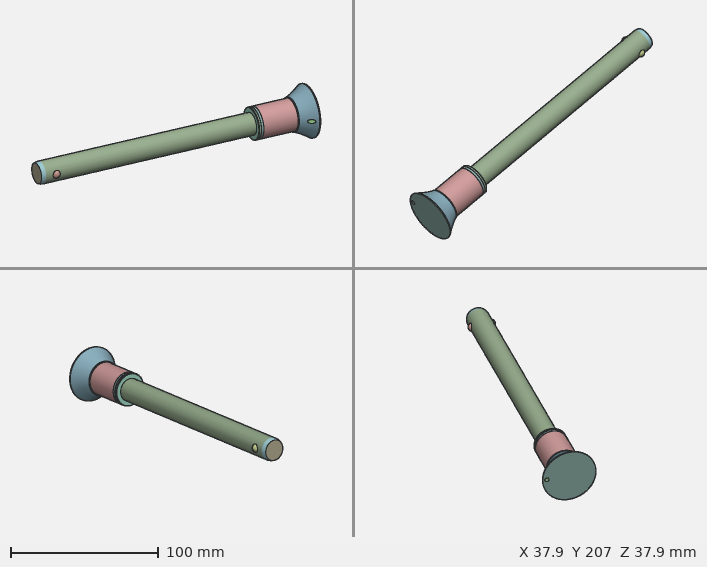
import cadquery as cq
import math

overall_length = 207.0

button_radius = 18.95
button_length = 13.5
rim_thickness = 0.8
neck_radius = 12.2
neck_thickness = 0.6
flare_sag = 0.5
keyring_hole_radius = 1.5
keyring_hole_offset = 16.0

sleeve_radius = 11.5
handle_length = 43.3
band_width = 1.9
groove_depth = 0.12
sleeve_end_chamfer = 0.5

shank_radius = 8.0
tip_length = 3.3
tip_radius = 7.2
tip_bulge = 0.2
ball_radius = 3.0
ball_reach = 9.7
ball_position = 11.2

shoulder_y = overall_length - handle_length
neck_y = overall_length - button_length
flare_start_y = neck_y + neck_thickness
rim_y = overall_length - rim_thickness


def bulged_midpoint(start, end, bulge):
    """Midpoint of a chord, moved by bulge to the right of its direction."""
    dx = end[0] - start[0]
    dy = end[1] - start[1]
    chord = math.hypot(dx, dy)
    return (
        (start[0] + end[0]) / 2 + bulge * dy / chord,
        (start[1] + end[1]) / 2 - bulge * dx / chord,
    )


def make_body():
    """Button, sleeve and shank turned about Y."""
    tip_start = (tip_radius, 0)
    tip_end = (shank_radius, tip_length)
    flare_start = (neck_radius, flare_start_y)
    flare_end = (button_radius, rim_y)
    groove_radius = sleeve_radius - groove_depth
    profile = (
        cq.Workplane("XY")
        .lineTo(*tip_start)
        .threePointArc(bulged_midpoint(tip_start, tip_end, tip_bulge), tip_end)
        .lineTo(shank_radius, shoulder_y)
        .lineTo(sleeve_radius - sleeve_end_chamfer, shoulder_y)
        .lineTo(sleeve_radius, shoulder_y + sleeve_end_chamfer)
        .lineTo(sleeve_radius, shoulder_y + band_width)
        .lineTo(groove_radius, shoulder_y + band_width)
        .lineTo(groove_radius, shoulder_y + 2 * band_width)
        .lineTo(sleeve_radius, shoulder_y + 2 * band_width)
        .lineTo(sleeve_radius, neck_y)
        .lineTo(neck_radius, neck_y)
        .lineTo(*flare_start)
        .threePointArc(bulged_midpoint(flare_start, flare_end, -flare_sag), flare_end)
        .lineTo(button_radius, overall_length)
        .lineTo(0, overall_length)
        .close()
    )
    return profile.revolve(360, (0, 0, 0), (0, 1, 0))


def make_ball(side):
    """Locking ball standing out of the shank on the +X (1) or -X (-1) side."""
    center_x = side * (ball_reach - ball_radius)
    return cq.Workplane("XY").sphere(ball_radius).translate((center_x, ball_position, 0))


def make_keyring_hole():
    """Cutter running along Y through the edge of the button."""
    return (
        cq.Workplane("XZ", origin=(keyring_hole_offset, overall_length, 0))
        .circle(keyring_hole_radius)
        .extrude(button_length)
    )


result = make_body()
for side in (-1, 1):
    result = result.union(make_ball(side))
result = result.cut(make_keyring_hole())